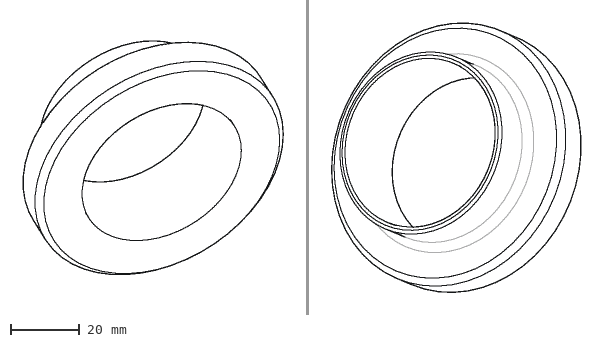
import cadquery as cq

flange_diameter = 78.0
sleeve_diameter = 54.0
bore_diameter = 50.0
total_length = 28.0
flange_thickness = 13.0
flange_chamfer = 1.95
root_fillet = 2.5
tip_chamfer_length = 0.55
tip_chamfer_depth = 1.0

flange_radius = flange_diameter / 2
sleeve_radius = sleeve_diameter / 2
bore_radius = bore_diameter / 2
flange_face = total_length - flange_thickness

section = (
    cq.Workplane("XY")
    .moveTo(0, bore_radius)
    .lineTo(0, sleeve_radius - tip_chamfer_depth)
    .lineTo(tip_chamfer_length, sleeve_radius)
    .lineTo(flange_face - root_fillet, sleeve_radius)
    .radiusArc((flange_face, sleeve_radius + root_fillet), -root_fillet)
    .lineTo(flange_face, flange_radius - flange_chamfer)
    .lineTo(flange_face + flange_chamfer, flange_radius)
    .lineTo(total_length - flange_chamfer, flange_radius)
    .lineTo(total_length, flange_radius - flange_chamfer)
    .lineTo(total_length, bore_radius)
    .close()
)

result = section.revolve(360, (0, 0, 0), (1, 0, 0))